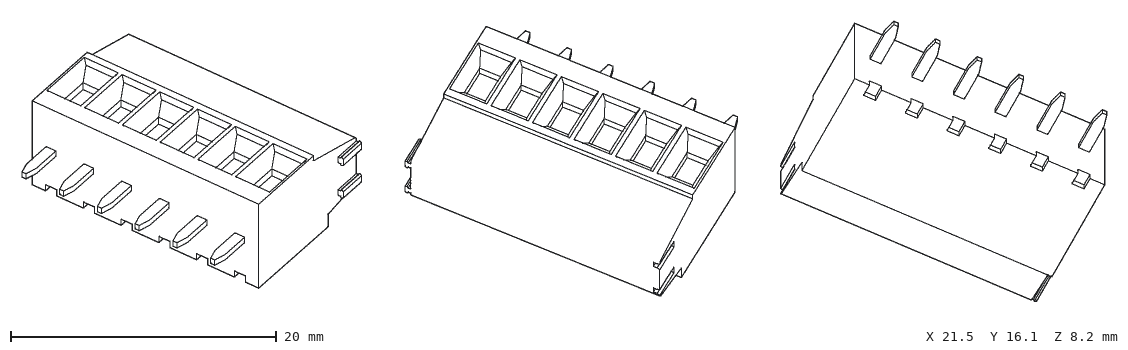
import cadquery as cq

poles = 6
overall_width = 21.5
overall_length = 16.1
body_width = 21.0
body_length = 12.6
body_height = 8.2
mid_height = body_height / 2
pitch = body_width / poles

top_flat_length = 7.1
top_step = 0.5
bottom_flat_length = 8.99
bottom_step = 1.23
rear_top = 6.35
rear_bottom = 1.87
rear_fillet = 0.3

pocket_width = 3.14
pocket_front = 1.65
pocket_back = 6.47
pocket_depth = 1.4
lip_depth = 0.54
lip_inset = 0.15
seat_width = 1.76
seat_front = 2.8
seat_back = 5.35
seat_depth = 0.67

pin_width = 0.9
pin_thickness = 0.52
pin_tip_width = 0.39
pin_tip_length = 0.99

notch_width = 1.0
notch_height = 0.6
notch_depth = 1.0

joint_length = 2.36
rail_spacing = 3.18
rail_neck_length = 0.22
rail_neck_height = 0.54
rail_crest = 0.3
rail_crest_height = 0.85
rail_end_height = 0.6
groove_spacing = 3.25
groove_mouth_height = 0.7
groove_floor_height = 0.5
groove_taper_depth = 0.22
groove_depth = 0.54


def make_body():
    outline = [
        (0, 0),
        (bottom_flat_length, 0),
        (bottom_flat_length, bottom_step),
        (body_length, rear_bottom),
        (body_length, rear_top),
        (top_flat_length, body_height - top_step),
        (top_flat_length, body_height),
        (0, body_height),
    ]
    body = cq.Workplane("YZ").polyline(outline).close().extrude(body_width)
    return body.faces(">Y").edges("|X").fillet(rear_fillet)


def loft_between(x, upper, lower):
    """Loft between two level rectangles, each given as (width, front, back, z)."""
    sections = cq.Workplane("XY")
    z_reached = 0
    for width, front, back, z in (upper, lower):
        sections = sections.workplane(offset=z - z_reached)
        sections = sections.moveTo(x - width / 2, front).lineTo(x + width / 2, front)
        sections = sections.lineTo(x + width / 2, back).lineTo(x - width / 2, back).close()
        z_reached = z
    return sections.loft(ruled=True)


def make_pocket(x):
    floor_z = body_height - pocket_depth
    lip_width = pocket_width - (pocket_width - seat_width) * lip_depth / pocket_depth
    mouth = (pocket_width, pocket_front, pocket_back, body_height)
    lip = (lip_width, pocket_front + lip_inset, pocket_back - lip_inset, body_height - lip_depth)
    floor = (seat_width, seat_front, seat_back, floor_z)
    seat_bottom = (seat_width, seat_front, seat_back, floor_z - seat_depth)
    pocket = loft_between(x, mouth, lip)
    pocket = pocket.union(loft_between(x, lip, floor))
    return pocket.union(loft_between(x, floor, seat_bottom))


def make_pin(x):
    pin_end = body_length - overall_length
    shoulder = pin_end + pin_tip_length
    outline = [
        (x - pin_width / 2, 0),
        (x - pin_width / 2, shoulder),
        (x - pin_tip_width / 2, pin_end),
        (x + pin_tip_width / 2, pin_end),
        (x + pin_width / 2, shoulder),
        (x + pin_width / 2, 0),
    ]
    pin = cq.Workplane("XY").polyline(outline).close().extrude(pin_thickness)
    return pin.translate((0, 0, mid_height - pin_thickness / 2))


def make_notch(x):
    notch = cq.Workplane("XY").box(notch_width, notch_depth, notch_height, centered=(True, False, False))
    return notch.translate((x, 0, 0))


def make_joint(z, upper_profile):
    """Bar along the rear of an end face, symmetric about z, from its (x, half height) points."""
    upper = [(x, z + half) for x, half in upper_profile]
    lower = [(x, z - half) for x, half in reversed(upper_profile)]
    bar = cq.Workplane("XZ").polyline(upper + lower).close().extrude(joint_length)
    return bar.translate((0, body_length, 0))


rail_profile = [
    (body_width, rail_neck_height / 2),
    (body_width + rail_neck_length, rail_neck_height / 2),
    (body_width + rail_crest, rail_crest_height / 2),
    (overall_width, rail_end_height / 2),
]
groove_profile = [
    (0, groove_mouth_height / 2),
    (groove_taper_depth, groove_floor_height / 2),
    (groove_depth, groove_floor_height / 2),
]

result = make_body()
for pole in range(poles):
    pole_x = (pole + 0.5) * pitch
    result = result.cut(make_pocket(pole_x))
    result = result.cut(make_notch(pole_x))
    result = result.union(make_pin(pole_x))

for side in (-1, 1):
    result = result.cut(make_joint(mid_height + side * groove_spacing / 2, groove_profile))
    result = result.union(make_joint(mid_height + side * rail_spacing / 2, rail_profile))